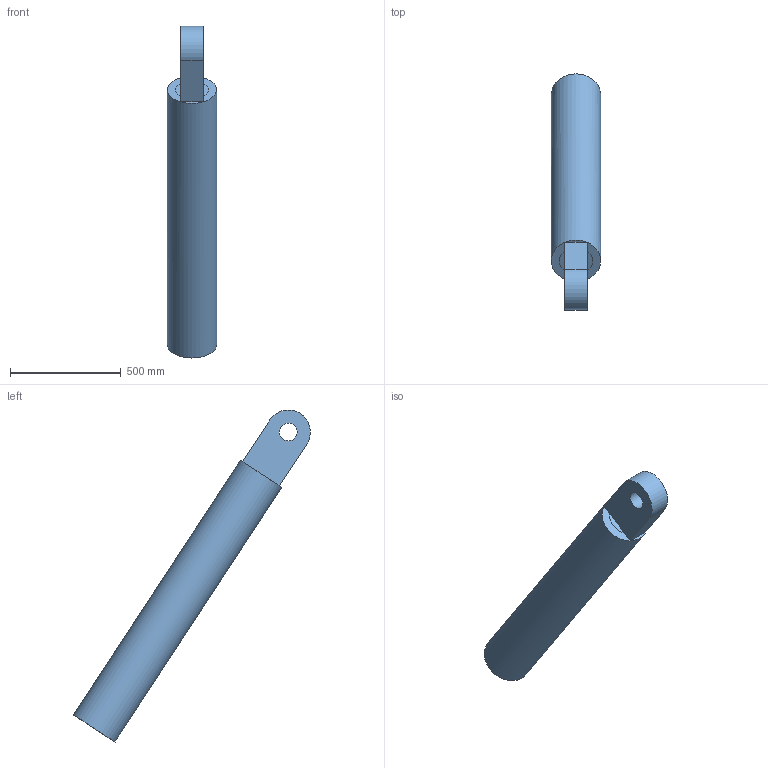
import cadquery as cq
import math

lug_width = 200.0
lug_thickness = 100.0
pin_hole_diameter = 80.0

barrel_diameter = math.hypot(lug_width, lug_thickness)
core_diameter = 150.0

pin_to_barrel_top = 225.0
pin_to_barrel_bottom = 1600.0
barrel_length = pin_to_barrel_bottom - pin_to_barrel_top

tilt_angle = 33.2


def make_cylinder(diameter):
    """Upright cylinder over the full length of the barrel."""
    return (
        cq.Workplane("XY", origin=(0, 0, -pin_to_barrel_bottom))
        .circle(diameter / 2)
        .extrude(barrel_length)
    )


def make_lug():
    """Upright eye plate with its pin hole along X through the origin."""
    half_width = lug_width / 2
    return (
        cq.Workplane("YZ")
        .moveTo(-half_width, -pin_to_barrel_top)
        .lineTo(-half_width, 0)
        .threePointArc((0, half_width), (half_width, 0))
        .lineTo(half_width, -pin_to_barrel_top)
        .close()
        .moveTo(0, 0)
        .circle(pin_hole_diameter / 2)
        .extrude(lug_thickness / 2, both=True)
    )


barrel = make_cylinder(barrel_diameter)
core = make_cylinder(core_diameter)

upright_part = barrel.union(core, clean=False).union(make_lug(), clean=False)

result = upright_part.rotate((0, 0, 0), (1, 0, 0), tilt_angle)